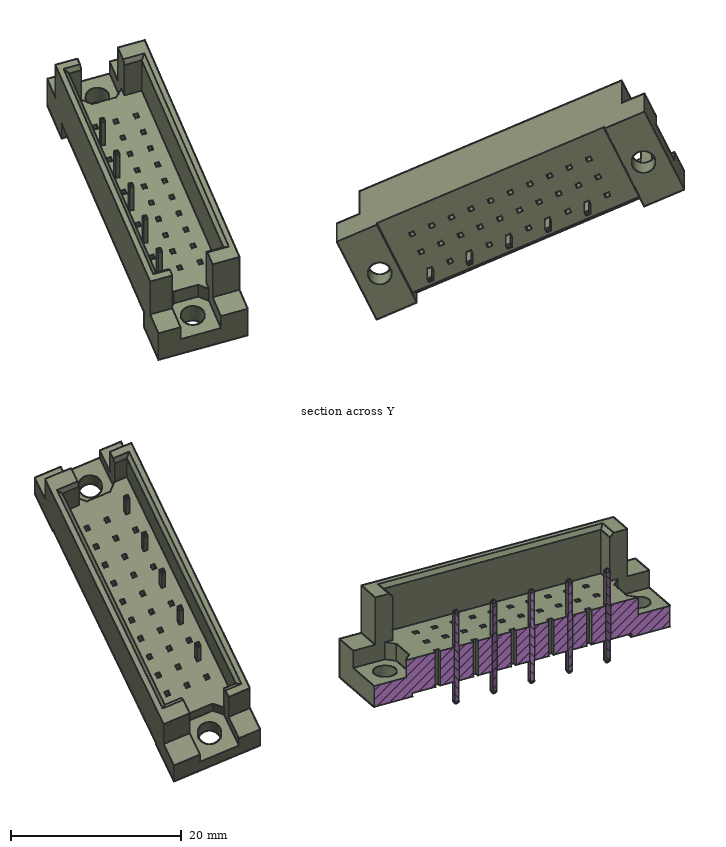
import cadquery as cq

LENGTH = 39.8
WIDTH = 11.1
HEIGHT = 11.5
UPPER_LENGTH = 33.9
FLOOR_HEIGHT = 5.15

CAVITY_WIDTH = 8.7
BACK_CAVITY_LENGTH = 29.2
FRONT_CAVITY_LENGTH = 31.1
RIM_CHAMFER = 0.5

SLOT_WIDTH = 5.0
SLOT_Y = -0.3
SLOT_FLOOR = 2.85
SLOT_INNER_X = 14.65
SLOT_CORNER = 1.0
HOLE_DIAMETER = 2.8
HOLE_X = 17.05

RELIEF_LENGTH = 29.4
UNDERSIDE_HEIGHT = 0.45
FRONT_RELIEF_HEIGHT = 2.85
FRONT_RELIEF_DEPTH = 1.2

COLUMNS = 10
ROWS = 3
PITCH = 2.54
GRID_X = 0.12
FRONT_ROW = 0
FIRST_PIN_COLUMN = 1
PIN_COLUMN_STEP = 2

PIN_SIZE_X = 0.6
PIN_SIZE_Y = 0.5
PIN_BOTTOM = -2.6
PIN_TOP = HEIGHT - 1.6
PIN_TIP_HEIGHT = 0.3
PIN_TIP_SCALE = 0.4


def block(size_x, size_y, bottom, top, x=0, y=0):
    """Upright box centred on (x, y) between two heights."""
    box = cq.Workplane("XY").box(size_x, size_y, top - bottom, centered=(True, True, False))
    return box.translate((x, y, bottom))


def frustum(lower_size, upper_size, bottom, top, y=0):
    """Rectangular frustum between two heights; sizes are (X, Y) pairs."""
    lower = cq.Workplane("XY", origin=(0, y, bottom)).rect(*lower_size)
    return lower.workplane(offset=top - bottom).rect(*upper_size).loft()


def column_x(column):
    return GRID_X + (column - (COLUMNS - 1) / 2) * PITCH


def row_y(row):
    return (row - (ROWS - 1) / 2) * PITCH


def cavity_half(length, side):
    """Cavity on the +Y (side = 1) or -Y (side = -1) side of the slot centreline, with its flared rim."""
    width = CAVITY_WIDTH / 2 - side * SLOT_Y
    y = SLOT_Y + side * width / 2
    well = block(length, width, FLOOR_HEIGHT, HEIGHT, 0, y)
    rim_size = (length + 2 * RIM_CHAMFER, width + 2 * RIM_CHAMFER)
    rim = frustum((length, width), rim_size, HEIGHT - RIM_CHAMFER, HEIGHT, y)
    return well.union(rim)


def end_slot(side):
    """Pocket in one end flange, with its inner corners cut off, and the mounting hole below."""
    slot_length = LENGTH / 2 - SLOT_INNER_X
    slot_x = SLOT_INNER_X + slot_length / 2
    slot = block(slot_length, SLOT_WIDTH, SLOT_FLOOR, FLOOR_HEIGHT, slot_x, SLOT_Y)
    slot = slot.edges("|Z and <X").chamfer(SLOT_CORNER)
    hole = cq.Workplane("XY").center(HOLE_X, SLOT_Y).circle(HOLE_DIAMETER / 2).extrude(FLOOR_HEIGHT)
    slot = slot.union(hole)
    return slot if side > 0 else slot.mirror("YZ")


def make_housing():
    body = block(LENGTH, WIDTH, 0, FLOOR_HEIGHT)
    body = body.union(block(UPPER_LENGTH, WIDTH, 0, HEIGHT))

    body = body.cut(cavity_half(BACK_CAVITY_LENGTH, 1))
    body = body.cut(cavity_half(FRONT_CAVITY_LENGTH, -1))
    body = body.cut(block(LENGTH, SLOT_WIDTH, FLOOR_HEIGHT, HEIGHT, 0, SLOT_Y))
    for side in (-1, 1):
        body = body.cut(end_slot(side))

    body = body.cut(block(RELIEF_LENGTH, WIDTH, 0, UNDERSIDE_HEIGHT))
    relief_y = (FRONT_RELIEF_DEPTH - WIDTH) / 2
    body = body.cut(block(RELIEF_LENGTH, FRONT_RELIEF_DEPTH, 0, FRONT_RELIEF_HEIGHT, 0, relief_y))

    for column in range(COLUMNS):
        for row in range(ROWS):
            hole = block(PIN_SIZE_X, PIN_SIZE_Y, 0, FLOOR_HEIGHT, column_x(column), row_y(row))
            body = body.cut(hole)
    return body


def make_pin(x, y):
    full_size = (PIN_SIZE_X, PIN_SIZE_Y)
    tip_size = (PIN_SIZE_X * PIN_TIP_SCALE, PIN_SIZE_Y * PIN_TIP_SCALE)
    shaft_bottom = PIN_BOTTOM + PIN_TIP_HEIGHT
    shaft_top = PIN_TOP - PIN_TIP_HEIGHT
    pin = block(PIN_SIZE_X, PIN_SIZE_Y, shaft_bottom, shaft_top)
    pin = pin.union(frustum(tip_size, full_size, PIN_BOTTOM, shaft_bottom))
    pin = pin.union(frustum(full_size, tip_size, shaft_top, PIN_TOP))
    return pin.translate((x, y, 0))


housing = make_housing()
pins = []
for pin_column in range(FIRST_PIN_COLUMN, COLUMNS, PIN_COLUMN_STEP):
    pins.append(make_pin(column_x(pin_column), row_y(FRONT_ROW)))

housing_solid = housing.solids().val()
pin_solids = [pin.solids().val() for pin in pins]
result = cq.Compound.makeCompound([housing_solid, *pin_solids])